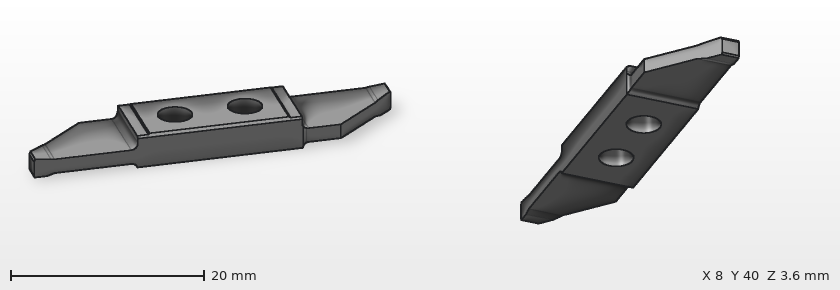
import cadquery as cq

length = 40.0
width = 8.0
height = 3.6

body_length = 17.7
bevel_width = 0.35
bevel_height = 0.3
end_strip_length = 1.2
end_strip_drop = 0.1
end_strip_ramp = 0.15
hole_diameter = 3.6
hole_spacing = 7.5

arm_bottom = 0.5
arm_top = 2.1
arm_inset = 0.25
root_radius = 0.7
side_root_radius = 0.5
tip_width = 1.9
taper_length = 6.95

tip_crest_top = 2.3
tip_end_top = 2.1
tip_land_top = 2.15
tip_bottom = 0.25
crest_setback = 0.15
bottom_bevel_height = 0.25
bottom_bevel_setback = 0.1
land_length = 1.8
tip_length = 2.2
bottom_land_length = 1.4

half_length = length / 2
half_width = width / 2
half_body = body_length / 2
strip_start = half_body - end_strip_length
root_end = half_body + root_radius


def make_body():
    """Rectangular block with sloped long edges and slightly lowered end strips."""
    block = cq.Workplane("XY").box(width, body_length, height, centered=(True, True, False))
    for side in (-1, 1):
        bevel = (
            cq.Workplane("XZ")
            .moveTo(side * half_width, height - bevel_height)
            .lineTo(side * half_width, height)
            .lineTo(side * (half_width - bevel_width), height)
            .close()
            .extrude(half_body, both=True)
        )
        strip = (
            cq.Workplane("YZ")
            .moveTo(side * half_body, height)
            .lineTo(side * half_body, height - end_strip_drop)
            .lineTo(side * strip_start, height - end_strip_drop)
            .lineTo(side * (strip_start - end_strip_ramp), height)
            .close()
            .extrude(half_width, both=True)
        )
        block = block.cut(bevel).cut(strip)
    return block


def make_arm():
    """Arm on the -Y end: the side profile limited to the tapered plan outline."""
    inner_y = -half_body / 2
    profile = (
        cq.Workplane("YZ")
        .moveTo(inner_y, arm_bottom - root_radius)
        .lineTo(-half_body, arm_bottom - root_radius)
        .radiusArc((-root_end, arm_bottom), -root_radius)
        .lineTo(-half_length + tip_length, arm_bottom)
        .lineTo(-half_length + bottom_land_length, tip_bottom)
        .lineTo(-half_length + bottom_bevel_setback, tip_bottom)
        .lineTo(-half_length, tip_bottom + bottom_bevel_height)
        .lineTo(-half_length, tip_end_top)
        .lineTo(-half_length + crest_setback, tip_crest_top)
        .lineTo(-half_length + land_length, tip_land_top)
        .lineTo(-half_length + tip_length, arm_top)
        .lineTo(-root_end, arm_top)
        .radiusArc((-half_body, arm_top + root_radius), -root_radius)
        .lineTo(inner_y, arm_top + root_radius)
        .close()
        .extrude(half_width, both=True)
    )
    arm_side = -half_width + arm_inset
    plan = (
        cq.Workplane("XY")
        .moveTo(half_width, inner_y)
        .lineTo(half_width, -half_length)
        .lineTo(half_width - tip_width, -half_length)
        .lineTo(arm_side, -half_length + taper_length)
        .lineTo(arm_side, -half_body - side_root_radius)
        .radiusArc((arm_side - side_root_radius, -half_body), -side_root_radius)
        .lineTo(arm_side - side_root_radius, inner_y)
        .close()
        .extrude(height)
    )
    return profile.intersect(plan)


def make_part():
    """Body with two arms in half-turn symmetry and a pair of through holes."""
    arm = make_arm().intersect(
        cq.Workplane("XY").box(width, length, height, centered=(True, True, False))
    )
    opposite_arm = arm.rotate((0, 0, 0), (0, 0, 1), 180)
    holes = (
        cq.Workplane("XY")
        .pushPoints([(0, -hole_spacing / 2), (0, hole_spacing / 2)])
        .circle(hole_diameter / 2)
        .extrude(height)
    )
    return make_body().union(arm).union(opposite_arm).cut(holes)


result = make_part()